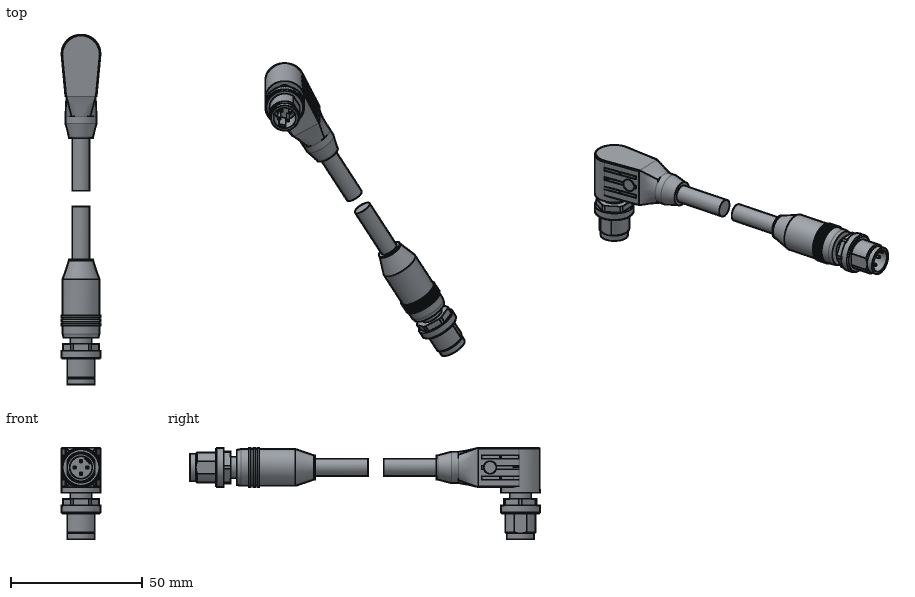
import cadquery as cq
import math


cable_radius = 3.3
cable_length = 20.2
sleeve_end_radius = 4.7
sleeve_lip = 0.5

neck_radius = 4.1
neck_end = 2.3
nut_across_flats = 12.5
nut_corner_radius = 7.0
nut_end = 4.8
ring_radius = 7.5
ring_chamfer = 0.5
ring_end = 8.0
barrel_diameter = 11.6
barrel_radius = barrel_diameter / 2
barrel_end = 15.0
barrel_taper = 0.5
tip_diameter = 10.5
tip_radius = tip_diameter / 2
plug_length = 17.7
bore_radius = 4.3
bore_depth = 8.0
pin_count = 4
pin_radius = 0.5
pin_chamfer = 0.3
pin_circle_radius = 2.4
pin_length = 6.1
key_width = 2.7
key_height = 0.8
key_angle = 45
key_length = 6.7

head_radius = 7.5
head_height = 15.1
head_half_height = head_height / 2
collar_height = 2.1
collar_bottom = -head_half_height - collar_height
shoulder_y = -16.0
shoulder_half_width = 6.0
head_chamfer = 0.4
transition_half_width = 5.6
elbow_sleeve_radius = 6.0
elbow_sleeve_start = -23.6
elbow_sleeve_taper = -26.4
elbow_sleeve_end = -32.0

groove_count = 3
groove_pitch = 4.0
groove_width = 1.2
groove_depth = 0.3
groove_end_y = -14.8
web_y = -7.6
web_width = 0.7
web_height = 0.1
button_y = -11.6
button_radius = 2.4
button_depth = 0.1

body_radius = 7.1
body_end = -108.2
body_shoulder_y = -85.8
body_sleeve_end = -78.2
body_nose = 1.6
body_nose_inset = 0.4
rib_radius = 7.5
rib_count = 3
rib_first_y = -100.0
rib_pitch = 1.6
rib_width = 0.8


def turned(profile):
    """Solid of revolution about the Y axis from (y, radius) points."""
    return cq.Workplane("YZ").polyline(profile).close().revolve(360, (0, 0, 0), (1, 0, 0))


def round_bar(radius, y_low, y_high):
    """Cylinder along Y between two positions."""
    return turned([(y_low, 0), (y_low, radius), (y_high, radius), (y_high, 0)])


def post(radius, start, end):
    """Cylinder along Z between two heights."""
    return cq.Workplane("XY").workplane(offset=start).circle(radius).extrude(end - start)


def make_nut():
    """Hexagon with two flats facing Y and its corners turned down."""
    across_corners = nut_across_flats / math.cos(math.radians(30))
    height = nut_end - neck_end
    hexagon = cq.Workplane("XY").workplane(offset=neck_end).polygon(6, across_corners).extrude(height)
    return hexagon.intersect(post(nut_corner_radius, neck_end, nut_end))


def make_barrel():
    """Barrel with a tapered step to the tip and a flat on each X side."""
    profile = [
        (0, ring_end),
        (barrel_radius, ring_end),
        (barrel_radius, barrel_end),
        (tip_radius, barrel_end + barrel_taper),
        (tip_radius, plug_length),
        (0, plug_length),
    ]
    barrel = cq.Workplane("XZ").polyline(profile).close().revolve(360, (0, 0, 0), (0, 1, 0))
    between_flats = cq.Workplane("XY").box(2 * tip_radius, 2 * ring_radius, 2 * plug_length)
    return barrel.intersect(between_flats)


def make_plug():
    """Keyed male plug pointing along +Z from the origin."""
    neck = post(neck_radius, 0, neck_end)
    ring = post(ring_radius, nut_end, ring_end).faces(">Z").chamfer(ring_chamfer)
    plug = neck.union(make_nut()).union(ring).union(make_barrel())

    bore_floor = plug_length - bore_depth
    plug = plug.cut(post(bore_radius, bore_floor, plug_length))

    pins = (
        cq.Workplane("XY")
        .workplane(offset=bore_floor)
        .polarArray(pin_circle_radius, 0, 360, pin_count)
        .circle(pin_radius)
        .extrude(pin_length)
        .faces(">Z")
        .chamfer(pin_chamfer)
    )
    key_outer = (bore_radius + tip_radius) / 2
    key_inner = bore_radius - key_height
    key = (
        cq.Workplane("XY")
        .box(key_outer - key_inner, key_width, key_length, centered=(False, True, False))
        .translate((key_inner, 0, bore_floor))
        .rotate((0, 0, 0), (0, 0, 1), key_angle)
    )
    return plug.union(pins).union(key)


def make_elbow_head():
    """Rounded block whose flat sides taper from the round end to the shoulder."""
    corner_distance = math.hypot(shoulder_half_width, shoulder_y)
    corner_angle = math.atan2(shoulder_y, shoulder_half_width)
    tangent_angle = corner_angle + math.acos(head_radius / corner_distance)
    tangent_x = head_radius * math.cos(tangent_angle)
    tangent_y = head_radius * math.sin(tangent_angle)

    head = (
        cq.Workplane("XY")
        .workplane(offset=-head_half_height)
        .moveTo(shoulder_half_width, shoulder_y)
        .lineTo(tangent_x, tangent_y)
        .threePointArc((0, head_radius), (-tangent_x, tangent_y))
        .lineTo(-shoulder_half_width, shoulder_y)
        .close()
        .extrude(2 * head_half_height)
    )
    head = head.faces("<Z or >Z").edges("not <Y").chamfer(head_chamfer)
    grooves = make_side_grooves(tangent_x, tangent_y)
    return head.cut(grooves).cut(grooves.mirror("YZ"))


def make_side_grooves(tangent_x, tangent_y):
    """Cutter for the grip grooves and the button recess in the flat side at +X."""
    length = tangent_y - groove_end_y
    middle_y = tangent_y - length / 2
    top_z = (groove_count - 1) / 2 * groove_pitch
    grooves = (
        cq.Workplane("YZ")
        .pushPoints([(middle_y, top_z - i * groove_pitch) for i in range(groove_count)])
        .rect(length, groove_width)
        .extrude(groove_depth)
    )
    webs = (
        cq.Workplane("YZ")
        .pushPoints([(web_y, top_z), (web_y, -top_z)])
        .rect(web_width, groove_width)
        .extrude(web_height)
    )
    button_clearance = make_button_disc(groove_depth)
    button_recess = make_button_disc(button_depth).translate((groove_depth - button_depth, 0, 0))
    cutter = grooves.cut(webs).cut(button_clearance).union(button_recess)

    taper_angle = math.degrees(math.atan2(tangent_x - shoulder_half_width, tangent_y - shoulder_y))
    return (
        cutter.translate((-groove_depth, -tangent_y, 0))
        .rotate((0, 0, 0), (0, 0, 1), -taper_angle)
        .translate((tangent_x, tangent_y, 0))
    )


def make_button_disc(thickness):
    """Disc with the outline of the button, growing along +X from X = 0."""
    return cq.Workplane("YZ").center(button_y, 0).circle(button_radius).extrude(thickness)


def make_elbow_transition():
    """Ruled transition from the rectangular shoulder to the round sleeve."""
    half_width = transition_half_width
    diagonal = math.atan2(head_half_height, half_width)
    x = elbow_sleeve_radius * math.cos(diagonal)
    z = elbow_sleeve_radius * math.sin(diagonal)
    r = elbow_sleeve_radius
    return (
        cq.Workplane("XZ", origin=(0, shoulder_y, 0))
        .rect(2 * half_width, 2 * head_half_height)
        .workplane(offset=shoulder_y - elbow_sleeve_start)
        .moveTo(-x, -z)
        .threePointArc((0, -r), (x, -z))
        .threePointArc((r, 0), (x, z))
        .threePointArc((0, r), (-x, z))
        .threePointArc((-r, 0), (-x, -z))
        .close()
        .loft(ruled=True)
    )


def make_elbow_connector():
    """Angled connector with its stub of cable."""
    collar = post(head_radius, collar_bottom, 0)
    sleeve = turned([
        (elbow_sleeve_start, 0),
        (elbow_sleeve_start, elbow_sleeve_radius),
        (elbow_sleeve_taper, elbow_sleeve_radius),
        (elbow_sleeve_end + sleeve_lip, sleeve_end_radius),
        (elbow_sleeve_end, sleeve_end_radius),
        (elbow_sleeve_end, 0),
    ])
    cable = round_bar(cable_radius, elbow_sleeve_end - cable_length, elbow_sleeve_end)
    plug = make_plug().rotate((0, 0, 0), (1, 0, 0), 180).translate((0, 0, collar_bottom))
    body = make_elbow_head().union(make_elbow_transition()).union(sleeve).union(cable)
    return body.union(collar).union(plug)


def make_straight_connector():
    """Straight connector with its stub of cable."""
    body = turned([
        (body_sleeve_end, 0),
        (body_sleeve_end, sleeve_end_radius),
        (body_sleeve_end - sleeve_lip, sleeve_end_radius),
        (body_shoulder_y, body_radius),
        (body_end + body_nose, body_radius),
        (body_end, body_radius - body_nose_inset),
        (body_end, 0),
    ])
    for i in range(rib_count):
        y = rib_first_y - i * rib_pitch
        body = body.union(round_bar(rib_radius, y - rib_width / 2, y + rib_width / 2))
    cable = round_bar(cable_radius, body_sleeve_end, body_sleeve_end + cable_length)
    plug = make_plug().rotate((0, 0, 0), (1, 0, 0), 90).translate((0, body_end, 0))
    return body.union(cable).union(plug)


elbow_connector = make_elbow_connector()
straight_connector = make_straight_connector()

result = cq.Compound.makeCompound([elbow_connector.val(), straight_connector.val()])